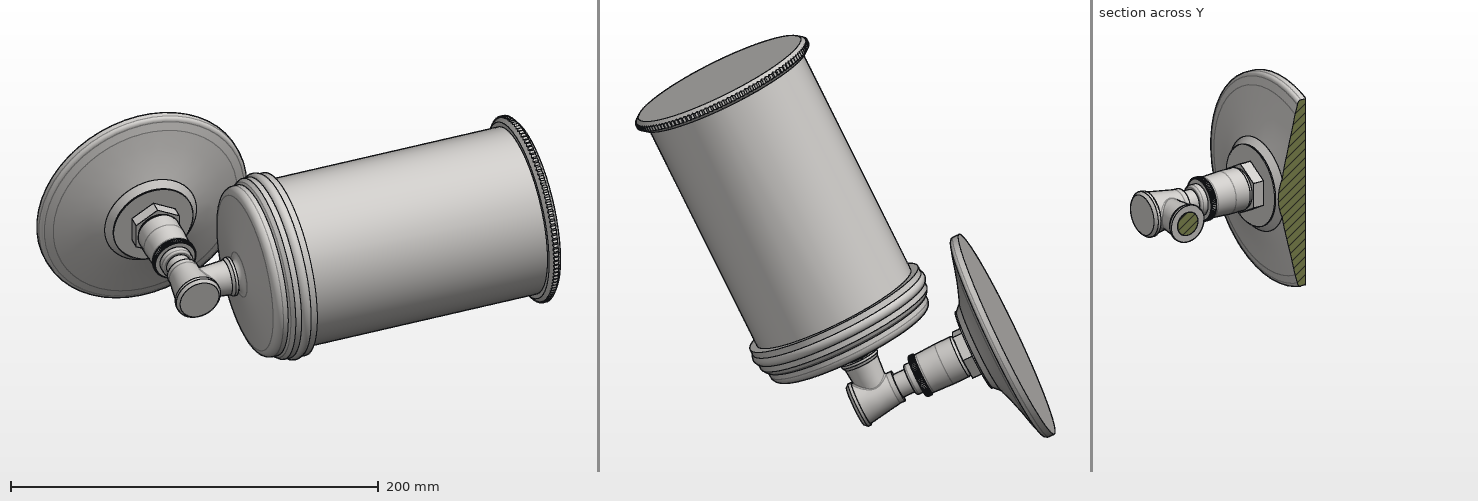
import cadquery as cq
import math


flange_radius = 60.3
flange_rim_width = 3.3
flange_round = 2.3
flange_flank_x = 7.2
flange_flank_radius = 53.3
flange_hollow = (10.5, 41.3)
flange_throat_x = 15.6
flange_throat_radius = 26.7
flange_edge_x = 19.2
flange_width = 20.0
flange_face_radius = 23.0

nut_across_corners = 29.0
nut_end_x = 26.7
sleeve_shoulder_radius = 11.3
sleeve_shoulder_width = 1.8
sleeve_radius = 12.0
sleeve_end_radius = 11.5
sleeve_taper_x = 37.7
sleeve_end_x = 49.2
ring_start_x = 50.3

ring_radius = 12.3
ring_width = 3.8
ring_bevel = 0.8
ring_teeth = 72
ring_tooth_depth = 0.8
collar_radius = 9.0
collar_end_x = 58.5
collar_round = 1.3
stem_radius = 6.8

tee_start_x = 65.7
tee_band_end_x = 68.5
tee_small_radius = 9.0
tee_large_radius = 12.0
tee_lip_x = 88.0
tee_lip_radius = 12.8
tee_end_x = 91.5
tee_face_radius = 11.3
branch_root_radius = 8.0
branch_top_radius = 9.7
branch_flare_y = 20.5
branch_lip_y = 22.3
branch_lip_radius = 10.8
branch_end_y = 23.9
tee_blend = 0.8

cup_x = 78.0
cup_end_y = 196.2
cup_radius = 52.0
tube_radius = 46.7
neck_radius = stem_radius
neck_flare_radius = 12.5
neck_flare_y = 28.0
dome_radius = 43.3
dome_y = 31.5
dome_corner = 4.4
base_radius = dome_radius + dome_corner
base_top_y = 38.7
cove_step = 1.3
cove_y = 39.8
shelf_radius = 50.5
shelf_y = 42.0
bead_start_y = 45.5
bead_end_y = 50.8
base_lip_radius = 51.0
base_lip_y = 54.4
rim_width = 6.7
rim_face_radius = 49.2
rim_teeth = 120
rim_tooth_depth = 0.8
rim_side_width = 2.0

corner_45 = math.sqrt(0.5)


def around_arm(profile):
    """Revolve a closed (x, radius) profile about the arm's axis."""
    return profile.close().revolve(360, (0, 0, 0), (1, 0, 0))


def around_cup(profile):
    """Revolve a closed (radius, y) profile about Y, then move it onto the cup's axis."""
    return profile.close().revolve(360, (0, 0, 0), (0, 1, 0)).translate((cup_x, 0, 0))


def serrated_outline(plane, radius, teeth, depth):
    """Closed outline of V-shaped teeth on a circle of the given tip radius."""
    points = []
    for i in range(2 * teeth):
        r = radius - depth * (i % 2)
        angle = math.pi * i / teeth
        points.append((r * math.cos(angle), r * math.sin(angle)))
    return cq.Workplane(plane).polyline(points).close()


def make_flange():
    round_end = (flange_rim_width + flange_round, flange_radius - flange_round)
    return around_arm(
        cq.Workplane("XY")
        .lineTo(0, flange_radius)
        .lineTo(flange_rim_width, flange_radius)
        .radiusArc(round_end, flange_round)
        .lineTo(flange_flank_x, flange_flank_radius)
        .threePointArc(flange_hollow, (flange_throat_x, flange_throat_radius))
        .lineTo(flange_edge_x, flange_face_radius)
        .lineTo(flange_width, flange_face_radius)
        .lineTo(flange_width, 0)
    )


def make_nut():
    """Hexagon with two corners on the Z axis."""
    return (
        cq.Workplane("YZ", origin=(flange_width, 0, 0))
        .transformed(rotate=(0, 0, 90))
        .polygon(6, nut_across_corners)
        .extrude(nut_end_x - flange_width)
    )


def make_arm():
    """Sleeve, collar and stem, from the nut to the middle of the tee."""
    ring_end_x = ring_start_x + ring_width
    return around_arm(
        cq.Workplane("XY")
        .moveTo(nut_end_x, 0)
        .lineTo(nut_end_x, sleeve_shoulder_radius)
        .lineTo(nut_end_x + sleeve_shoulder_width, sleeve_radius)
        .lineTo(sleeve_taper_x, sleeve_radius)
        .lineTo(sleeve_end_x, sleeve_end_radius)
        .lineTo(ring_end_x, sleeve_end_radius)
        .lineTo(ring_end_x, collar_radius)
        .lineTo(collar_end_x - collar_round, collar_radius)
        .radiusArc((collar_end_x, collar_radius - collar_round), collar_round)
        .lineTo(collar_end_x, stem_radius)
        .lineTo(cup_x, stem_radius)
        .lineTo(cup_x, 0)
    )


def make_ring():
    ring = serrated_outline("YZ", ring_radius, ring_teeth, ring_tooth_depth).extrude(ring_width)
    envelope = cq.Workplane("YZ").circle(ring_radius).extrude(ring_width).edges().chamfer(ring_bevel)
    return ring.intersect(envelope).translate((ring_start_x, 0, 0))


def make_tee_body():
    lip_middle_x = (tee_lip_x + tee_end_x) / 2
    return around_arm(
        cq.Workplane("XY")
        .moveTo(tee_start_x, 0)
        .lineTo(tee_start_x, tee_small_radius)
        .lineTo(tee_band_end_x, tee_small_radius)
        .lineTo(tee_lip_x, tee_large_radius)
        .lineTo(tee_lip_x, tee_lip_radius)
        .lineTo(lip_middle_x, tee_lip_radius)
        .lineTo(tee_end_x, tee_face_radius)
        .lineTo(tee_end_x, 0)
    )


def make_branch():
    return around_cup(
        cq.Workplane("XY")
        .lineTo(branch_root_radius, 0)
        .lineTo(branch_top_radius, branch_flare_y)
        .lineTo(branch_lip_radius, branch_lip_y)
        .lineTo(branch_lip_radius, branch_end_y)
        .lineTo(0, branch_end_y)
    )


def make_tee():
    """Tee body and branch, blended where they meet beside the branch."""
    tee = make_tee_body().union(make_branch())
    blend_box = cq.selectors.BoxSelector(
        (cup_x - branch_lip_radius, tee_blend, -tee_lip_radius),
        (cup_x + branch_lip_radius, tee_large_radius, tee_lip_radius),
    )
    return tee.edges(blend_box).fillet(tee_blend)


def make_cup():
    """Neck, domed base with its mouldings, and the tube up to the far end."""
    flare = neck_flare_radius - neck_radius
    rise = neck_flare_y - branch_end_y
    flare_middle = (
        neck_flare_radius - flare * corner_45,
        branch_end_y + rise * corner_45,
    )
    corner_start_y = dome_y + dome_corner
    return around_cup(
        cq.Workplane("XY")
        .moveTo(0, branch_end_y)
        .lineTo(neck_radius, branch_end_y)
        .threePointArc(flare_middle, (neck_flare_radius, neck_flare_y))
        .lineTo(dome_radius, dome_y)
        .radiusArc((base_radius, corner_start_y), -dome_corner)
        .lineTo(base_radius, base_top_y)
        .lineTo(base_radius + cove_step, cove_y)
        .lineTo(shelf_radius, shelf_y)
        .lineTo(shelf_radius, bead_start_y)
        .threePointArc((cup_radius, (bead_start_y + bead_end_y) / 2), (base_lip_radius, bead_end_y))
        .lineTo(base_lip_radius, base_lip_y)
        .lineTo(tube_radius, base_lip_y)
        .lineTo(tube_radius, cup_end_y)
        .lineTo(0, cup_end_y)
    )


def make_rim():
    """Serrated rim at the far end of the cup, with bevelled edges."""
    rim_start_y = cup_end_y - rim_width
    teeth = serrated_outline("XZ", cup_radius, rim_teeth, rim_tooth_depth).extrude(-rim_width)
    teeth = teeth.translate((cup_x, rim_start_y, 0))
    bevel = (rim_width - rim_side_width) / 2
    envelope = around_cup(
        cq.Workplane("XY")
        .moveTo(0, rim_start_y)
        .lineTo(rim_face_radius, rim_start_y)
        .lineTo(cup_radius, rim_start_y + bevel)
        .lineTo(cup_radius, cup_end_y - bevel)
        .lineTo(rim_face_radius, cup_end_y)
        .lineTo(0, cup_end_y)
    )
    return teeth.intersect(envelope)


result = make_flange()
for piece in (make_nut(), make_arm(), make_ring(), make_tee(), make_cup(), make_rim()):
    result = result.union(piece)